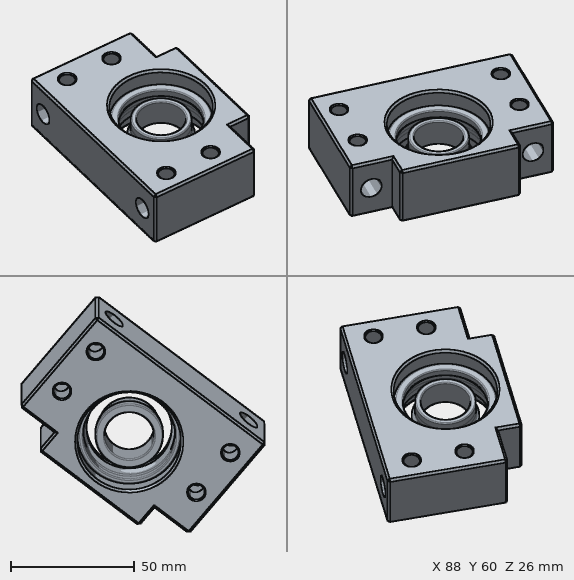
import cadquery as cq
import math

WIDTH = 88.0
DEPTH = 60.0
HEIGHT = 26.0
BASE_TO_AXIS = 34.0
SHOULDER_DROP = 10.0
BOSS_WIDTH = 52.0
EDGE_CHAMFER = 1.0

HOLE_SPACING_X = 70.0
HOLE_SPACING_Y = 22.0
VERTICAL_HOLE_DIAMETER = 6.6
VERTICAL_HOLE_CHAMFER = 0.5
CROSS_HOLE_DIAMETER = 9.0

BEARING_OUTER_RADIUS = 21.0
BEARING_BORE_RADIUS = 10.0
BEARING_WIDTH = 12.0
SEAT_CORNER_FILLET = 0.8
CORNER_FILLET = 0.5

BALL_CIRCLE_RADIUS = (BEARING_OUTER_RADIUS + BEARING_BORE_RADIUS) / 2
RACEWAY_RADIUS = 3.1
FULL_SHOULDER_OFFSET = 1.8
RELIEVED_SHOULDER_OFFSET = 3.2
LIP_HEIGHT = 0.6

half_bearing = BEARING_WIDTH / 2
back_y = DEPTH - BASE_TO_AXIS
front_y = -BASE_TO_AXIS
shoulder_y = back_y - SHOULDER_DROP


def box_between(width, y_start, y_end):
    """A box centred on the YZ plane and on mid-height, with every edge chamfered."""
    length = y_end - y_start
    box = cq.Workplane("XY").box(width, length, HEIGHT)
    return box.edges().chamfer(EDGE_CHAMFER).translate((0, (y_start + y_end) / 2, 0))


def make_housing():
    base = box_between(WIDTH, front_y, shoulder_y)
    boss = box_between(BOSS_WIDTH, front_y, back_y)
    housing = base.union(boss)

    bore = cq.Workplane("XY").circle(BEARING_OUTER_RADIUS).extrude(HEIGHT / 2, both=True)
    housing = housing.cut(bore)
    on_rim = cq.selectors.RadiusNthSelector(-1)
    housing = housing.edges("%CIRCLE").edges(on_rim).chamfer(EDGE_CHAMFER)

    for x in (-HOLE_SPACING_X / 2, HOLE_SPACING_X / 2):
        for y in (0, -HOLE_SPACING_Y):
            housing = housing.cut(make_vertical_hole().translate((x, y, 0)))

    cross_holes = (
        cq.Workplane("XZ")
        .pushPoints([(-HOLE_SPACING_X / 2, 0), (HOLE_SPACING_X / 2, 0)])
        .circle(CROSS_HOLE_DIAMETER / 2)
        .extrude(DEPTH, both=True)
    )
    return housing.cut(cross_holes)


def make_vertical_hole():
    """Cutter for a through hole on the Z axis with a chamfer at each end."""
    radius = VERTICAL_HOLE_DIAMETER / 2
    rim_radius = radius + VERTICAL_HOLE_CHAMFER
    half_height = HEIGHT / 2
    chamfer_start = half_height - VERTICAL_HOLE_CHAMFER
    profile = [
        (0, -half_height),
        (rim_radius, -half_height),
        (radius, -chamfer_start),
        (radius, chamfer_start),
        (rim_radius, half_height),
        (0, half_height),
    ]
    return cq.Workplane("XZ").polyline(profile).close().revolve(360, (0, 0, 0), (0, 1, 0))


def make_ring_profile(far_radius, side):
    """Half-section of a ring; side is +1 outside the ball circle and -1 inside it.

    The full shoulder is at the +Z end of the outer ring and at the -Z end of the inner ring.
    """
    raceway_half_width = math.sqrt(RACEWAY_RADIUS**2 - FULL_SHOULDER_OFFSET**2)
    lip_offset = math.sqrt(RACEWAY_RADIUS**2 - LIP_HEIGHT**2)

    def at(offset, height):
        return (BALL_CIRCLE_RADIUS + side * offset, side * height)

    far_offset = abs(far_radius - BALL_CIRCLE_RADIUS)
    return (
        cq.Workplane("XZ")
        .moveTo(*at(FULL_SHOULDER_OFFSET, half_bearing))
        .lineTo(*at(FULL_SHOULDER_OFFSET, raceway_half_width))
        .threePointArc(at(RACEWAY_RADIUS, 0), at(lip_offset, -LIP_HEIGHT))
        .lineTo(*at(RELIEVED_SHOULDER_OFFSET, -raceway_half_width))
        .lineTo(*at(RELIEVED_SHOULDER_OFFSET, -half_bearing))
        .lineTo(*at(far_offset, -half_bearing))
        .lineTo(*at(far_offset, half_bearing))
        .close()
    )


def make_ring(far_radius, side, outward_fillet, inward_fillet):
    """A bearing ring with rounded end rims, between its raceway and far_radius."""
    ring = make_ring_profile(far_radius, side).revolve(360, (0, 0, 0), (0, 1, 0))
    outward_rim = cq.selectors.RadiusNthSelector(-1)
    inward_rim = cq.selectors.RadiusNthSelector(0)
    for end_face in (">Z", "<Z"):
        ring = ring.faces(end_face).edges(outward_rim).fillet(outward_fillet)
        ring = ring.faces(end_face).edges(inward_rim).fillet(inward_fillet)
    return ring


housing = make_housing()
outer_ring = make_ring(BEARING_OUTER_RADIUS, 1, SEAT_CORNER_FILLET, CORNER_FILLET)
inner_ring = make_ring(BEARING_BORE_RADIUS, -1, CORNER_FILLET, CORNER_FILLET)

result = cq.Compound.makeCompound([housing.val(), outer_ring.val(), inner_ring.val()])